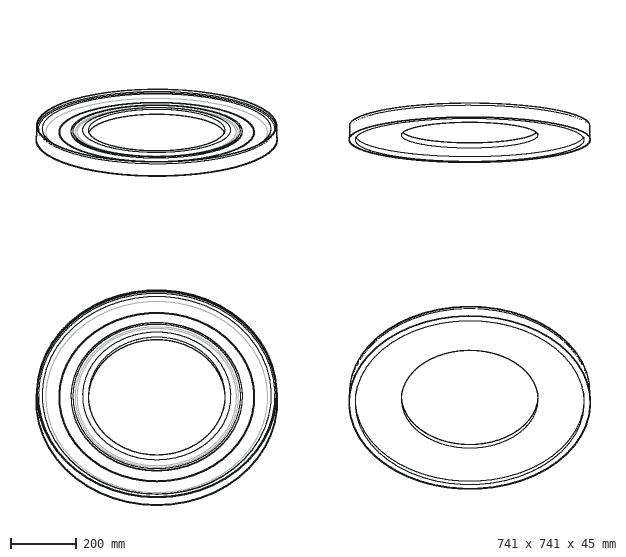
import cadquery as cq
import math

outer_radius = 370.5
height = 45.0

foot_height = 1.5
wall_radius = 368.0
rim_inner_radius = 365.0
rim_step_z = 38.5
rim_step_radius = 361.5
shelf_z = 35.5
shelf_inner_radius = 350.5

web_z = 24.5
web_outer_radius = 339.0
groove_outer_radius = 300.0
groove_inner_radius = 297.0
groove_depth = 1.0

bead_outer_radius = 262.0
bead_inner_radius = 256.0
bead_foot_radius = 250.0
bead_height = 4.0

hub_floor_radius = 244.0
land_radius = 227.0
land_z = 31.0
bore_radius = 209.0

underside_z = 15.0
underside_radius = shelf_inner_radius


def hollow_arc(profile, start, end, level_radius):
    """Add an arc from start to end that runs level where its radius is level_radius."""
    low, high = (start, end) if start[0] == level_radius else (end, start)
    run = high[0] - low[0]
    rise = high[1] - low[1]
    arc_radius = (run**2 + rise**2) / (2 * rise)
    half_sweep = math.atan2(rise, abs(run))
    middle = (
        low[0] + math.copysign(arc_radius * math.sin(half_sweep), run),
        low[1] + arc_radius * (1 - math.cos(half_sweep)),
    )
    return profile.threePointArc(middle, end)


profile = (
    cq.Workplane("XZ")
    .moveTo(underside_radius, 0)
    .lineTo(outer_radius, 0)
    .lineTo(outer_radius, foot_height)
    .lineTo(wall_radius, foot_height)
    .lineTo(wall_radius, height)
    .lineTo(rim_inner_radius, height)
    .lineTo(rim_inner_radius, rim_step_z)
    .lineTo(rim_step_radius, shelf_z)
    .lineTo(shelf_inner_radius, shelf_z)
)
profile = hollow_arc(
    profile, (shelf_inner_radius, shelf_z), (web_outer_radius, web_z), web_outer_radius
)
bead_z = web_z + bead_height
profile = (
    profile
    .lineTo(groove_outer_radius, web_z)
    .lineTo(groove_outer_radius, web_z - groove_depth)
    .lineTo(groove_inner_radius, web_z - groove_depth)
    .lineTo(groove_inner_radius, web_z)
    .lineTo(bead_outer_radius, web_z)
    .lineTo(bead_outer_radius, bead_z)
    .lineTo(bead_inner_radius, bead_z)
)
profile = hollow_arc(profile, (bead_inner_radius, bead_z), (bead_foot_radius, web_z), bead_foot_radius)
profile = profile.lineTo(hub_floor_radius, web_z)
profile = hollow_arc(profile, (hub_floor_radius, web_z), (land_radius, land_z), hub_floor_radius)
profile = (
    profile
    .lineTo(bore_radius, land_z)
    .lineTo(bore_radius, underside_z)
    .lineTo(underside_radius, underside_z)
    .close()
)

result = profile.revolve(360, (0, 0, 0), (0, 1, 0))